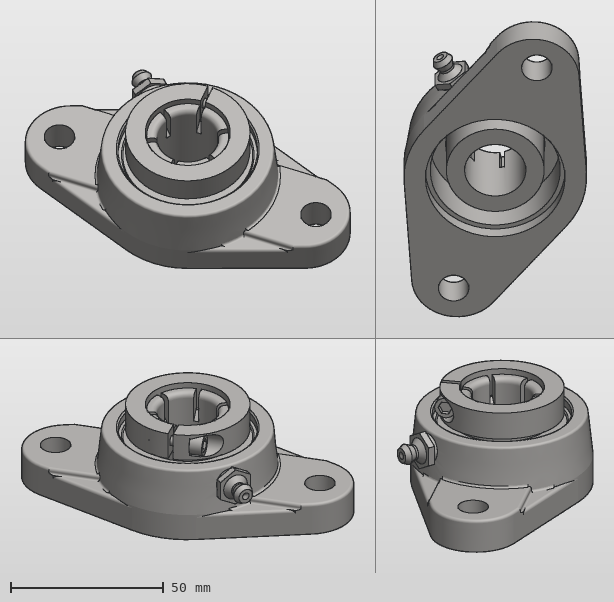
import cadquery as cq
import math

LENGTH = 112.0
HUB_R = 29.9
LOBE_R = 15.0
WEB_Z = 9.3
PAD_Z = 11.3
PAD_HALF_WIDTH = 15.3
EDGE_FILLET = 1.0
WEB_FOOT_HALF_WIDTH = 21.8
FOOT_FILLET = 0.7
HUB_TOP_Z = 25.2
HUB_TOP_R = 28.2
HUB_TOP_FILLET = 0.9
BOLT_D = 10.0
BOLT_X = 45.0

BEARING_Z = 13.4
SEAT_D = 49.0
OPENING_D = 45.7
OPENING_CHAMFER = 0.6
OUTER_BORE_D = 42.6
OUTER_BORE_CHAMFER = 0.5
SEAL_BORE_D = 32.5
SEAL_THICKNESS = 1.7
SHAFT_D = 20.0
INNER_D = 32.0
SHOULDER_Z = 24.6
SLEEVE_D = 26.9
SLEEVE_TOP_Z = 32.3
BORE_FILLET = 1.9
SLOT_COUNT = 6
SLOT_WIDTH = 1.7
SLOT_FLOOR_Z = 21.8

COLLAR_D = 40.8
COLLAR_BORE_D = 27.8
COLLAR_TOP_Z = 34.0
SCREW_Y = 16.8
SCREW_Z = 29.5
SHANK_D = 3.2
SHANK_END_X = 7.8
SCREW_HEAD_D = 7.0
HEAD_SEAT_X = -6.2
HEAD_LENGTH = 4.4
COUNTERBORE_D = 8.0
SOCKET_FLATS = 4.0
SOCKET_DEPTH = 1.7

NIPPLE_ANGLE = 135.0
NIPPLE_Z = 19.0
STEM_D = 10.0
STEM_START = 26.9
HEX_FLATS = 11.2
HEX_START = 29.9
HEX_END = 32.3
CONE_BASE_D = 8.8
NECK_D = 5.0
NECK_START = 34.2
NECK_END = 35.0
THROAT_D = 5.6
THROAT_AT = 35.6
BALL_D = 7.0
BALL_AT = 37.3
TIP_D = 5.0
TIP_AT = 39.2
DIMPLE_D = 2.5
DIMPLE_DEPTH = 0.6

SEAT_R = SEAT_D / 2
OUTER_HALF_WIDTH = math.sqrt(SEAT_R**2 - (OPENING_D / 2) ** 2)
OUTER_TOP_Z = BEARING_Z + OUTER_HALF_WIDTH
OUTER_BOTTOM_Z = BEARING_Z - OUTER_HALF_WIDTH


def cylinder(diameter, bottom, top):
    """Upright cylinder on the bearing axis."""
    return cq.Workplane("XY").workplane(offset=bottom).circle(diameter / 2).extrude(top - bottom)


def x_cylinder(diameter, start_x, end_x):
    """Cylinder on the collar screw axis, which runs along X."""
    plane = cq.Plane(origin=(start_x, SCREW_Y, SCREW_Z), xDir=(0, 1, 0), normal=(1, 0, 0))
    return cq.Workplane(plane).circle(diameter / 2).extrude(end_x - start_x)


def nipple_plane(distance):
    """Plane across the nipple axis, with its local X pointing up."""
    angle = math.radians(NIPPLE_ANGLE)
    outward = (math.cos(angle), math.sin(angle), 0)
    origin = (distance * outward[0], distance * outward[1], NIPPLE_Z)
    return cq.Plane(origin=origin, xDir=(0, 0, 1), normal=outward)


def flange_blank(height):
    """Two lobes joined to the wider middle by tangent lines."""
    lobe_x = LENGTH / 2 - LOBE_R
    sine = (HUB_R - LOBE_R) / lobe_x
    cosine = math.sqrt(1 - sine**2)
    hub_x, hub_y = HUB_R * sine, HUB_R * cosine
    end_x, end_y = lobe_x + LOBE_R * sine, LOBE_R * cosine
    return (
        cq.Workplane("XY")
        .moveTo(-hub_x, hub_y)
        .threePointArc((0, HUB_R), (hub_x, hub_y))
        .lineTo(end_x, end_y)
        .threePointArc((LENGTH / 2, 0), (end_x, -end_y))
        .lineTo(hub_x, -hub_y)
        .threePointArc((0, -HUB_R), (-hub_x, -hub_y))
        .lineTo(-end_x, -end_y)
        .threePointArc((-LENGTH / 2, 0), (-end_x, end_y))
        .close()
        .extrude(height)
    )


def make_pad():
    """Raised strip across the flange, with hollow-rounded feet and a round top edge."""
    foot_y = PAD_HALF_WIDTH + FOOT_FILLET
    foot_top_z = WEB_Z + FOOT_FILLET
    inset = FOOT_FILLET * (1 - math.sqrt(0.5))
    strip = (
        cq.Workplane("YZ")
        .lineTo(foot_y, 0)
        .lineTo(foot_y, WEB_Z)
        .threePointArc((PAD_HALF_WIDTH + inset, WEB_Z + inset), (PAD_HALF_WIDTH, foot_top_z))
        .lineTo(PAD_HALF_WIDTH, PAD_Z)
        .lineTo(0, PAD_Z)
        .close()
        .extrude(LENGTH / 2, both=True)
    )
    strip = strip.union(strip.mirror("XZ"))
    return flange_blank(PAD_Z).intersect(strip).faces(">Z").edges().fillet(EDGE_FILLET)


def make_web():
    """Low flange with a round top edge, left out where the hub stands."""
    web = flange_blank(WEB_Z).faces(">Z").edges().fillet(EDGE_FILLET)
    return web.cut(cylinder(2 * HUB_R, 0, WEB_Z))


def hub_radius(z):
    """Radius of the tapered hub wall at a height."""
    return HUB_R - (HUB_R - HUB_TOP_R) * (z - WEB_Z) / (HUB_TOP_Z - WEB_Z)


def make_hub():
    """Tapered hub on a short cylindrical foot."""
    return (
        cq.Workplane("XZ")
        .lineTo(HUB_R, 0)
        .lineTo(HUB_R, WEB_Z)
        .lineTo(HUB_TOP_R, HUB_TOP_Z)
        .lineTo(0, HUB_TOP_Z)
        .close()
        .revolve(360, (0, 0, 0), (0, 1, 0))
        .faces(">Z")
        .edges()
        .fillet(HUB_TOP_FILLET)
    )


def make_hub_foot(floor_z, half_width):
    """Hollow-rounded ring where the hub rises from a floor, kept within a strip along X."""
    top_z = floor_z + FOOT_FILLET
    inset = FOOT_FILLET * (1 - math.sqrt(0.5))
    wall_r = hub_radius(floor_z)
    ring = (
        cq.Workplane("XZ")
        .moveTo(OPENING_D / 2, floor_z - EDGE_FILLET)
        .lineTo(wall_r + FOOT_FILLET, floor_z - EDGE_FILLET)
        .lineTo(wall_r + FOOT_FILLET, floor_z)
        .threePointArc((wall_r + inset, floor_z + inset), (hub_radius(top_z), top_z))
        .lineTo(OPENING_D / 2, top_z)
        .close()
        .revolve(360, (0, 0, 0), (0, 1, 0))
    )
    strip = cq.Workplane("XY").rect(LENGTH, 2 * half_width).extrude(HUB_TOP_Z)
    return ring.intersect(strip)


def make_housing():
    """Flange and hub with the bearing seat, bolt holes and nipple hole."""
    parts = [
        make_hub(),
        make_pad(),
        make_hub_foot(PAD_Z, PAD_HALF_WIDTH - EDGE_FILLET),
        make_hub_foot(WEB_Z, WEB_FOOT_HALF_WIDTH),
    ]
    body = make_web()
    for part in parts:
        body = body.union(part, clean=False)
    opening = cylinder(OPENING_D, 0, HUB_TOP_Z)
    seat = cq.Workplane("XY").sphere(SEAT_R).translate((0, 0, BEARING_Z))
    bolts = cq.Workplane("XY").pushPoints([(-BOLT_X, 0), (BOLT_X, 0)]).circle(BOLT_D / 2).extrude(PAD_Z)
    stem_hole = cq.Workplane(nipple_plane(STEM_START)).circle(STEM_D / 2).extrude(HEX_START - STEM_START)
    body = body.cut(opening, clean=False)
    body = body.faces(">Z").edges("%CIRCLE").edges(cq.selectors.RadiusNthSelector(0)).chamfer(OPENING_CHAMFER)
    for tool in (seat, bolts, stem_hole):
        body = body.cut(tool, clean=False)
    return body


def make_outer_ring():
    """Ball-shaped ring with flat ends and a chamfered bore."""
    ball = cq.Workplane("XY").sphere(SEAT_R).translate((0, 0, BEARING_Z))
    ring = ball.intersect(cylinder(SEAT_D, OUTER_BOTTOM_Z, OUTER_TOP_Z))
    ring = ring.cut(cylinder(OUTER_BORE_D, OUTER_BOTTOM_Z, OUTER_TOP_Z))
    return ring.faces(">Z").edges(cq.selectors.RadiusNthSelector(0)).chamfer(OUTER_BORE_CHAMFER)


def make_seal():
    """Flat ring in the top of the outer ring, just clear of the inner ring."""
    top = OUTER_TOP_Z - OUTER_BORE_CHAMFER
    bottom = top - SEAL_THICKNESS
    return cylinder(OUTER_BORE_D, bottom, top).cut(cylinder(SEAL_BORE_D, bottom, top))


def make_slot():
    """Radial slot through the sleeve; its floor rises outward until it meets the shoulder."""
    bore_r = SHAFT_D / 2
    rise = SHOULDER_Z - SLOT_FLOOR_Z
    return (
        cq.Workplane("XZ")
        .moveTo(0, SLOT_FLOOR_Z)
        .lineTo(bore_r, SLOT_FLOOR_Z)
        .lineTo(bore_r + rise, SHOULDER_Z)
        .lineTo(SLEEVE_D, SHOULDER_Z)
        .lineTo(SLEEVE_D, SLEEVE_TOP_Z)
        .lineTo(0, SLEEVE_TOP_Z)
        .close()
        .extrude(SLOT_WIDTH / 2, both=True)
    )


def make_inner_ring():
    """Stepped ring with a slotted sleeve that the collar clamps."""
    ring = cylinder(INNER_D, OUTER_BOTTOM_Z, SHOULDER_Z).union(cylinder(SLEEVE_D, SHOULDER_Z, SLEEVE_TOP_Z))
    ring = ring.cut(cylinder(SHAFT_D, OUTER_BOTTOM_Z, SLEEVE_TOP_Z))
    ring = ring.faces(">Z").edges(cq.selectors.RadiusNthSelector(0)).fillet(BORE_FILLET)
    for number in range(SLOT_COUNT):
        angle = 90 + number * 360 / SLOT_COUNT
        ring = ring.cut(make_slot().rotate((0, 0, 0), (0, 0, 1), angle))
    return ring


def make_collar():
    """Split ring with a counterbored hole for the clamping screw across the split."""
    height = COLLAR_TOP_Z - SHOULDER_Z
    collar = cylinder(COLLAR_D, SHOULDER_Z, COLLAR_TOP_Z).cut(cylinder(COLLAR_BORE_D, SHOULDER_Z, COLLAR_TOP_Z))
    split = (
        cq.Workplane("XY")
        .workplane(offset=SHOULDER_Z)
        .center(0, COLLAR_D / 4)
        .rect(SLOT_WIDTH, COLLAR_D / 2)
        .extrude(height)
    )
    shank_hole = x_cylinder(SHANK_D, HEAD_SEAT_X, SHANK_END_X)
    counterbore = x_cylinder(COUNTERBORE_D, -COLLAR_D / 2, HEAD_SEAT_X)
    return collar.cut(split).cut(shank_hole).cut(counterbore)


def make_screw():
    """Socket head screw lying along X."""
    face_x = HEAD_SEAT_X - HEAD_LENGTH
    shank = x_cylinder(SHANK_D, HEAD_SEAT_X, SHANK_END_X)
    head = x_cylinder(SCREW_HEAD_D, face_x, HEAD_SEAT_X)
    face = cq.Plane(origin=(face_x, SCREW_Y, SCREW_Z), xDir=(0, 1, 0), normal=(1, 0, 0))
    socket_points_d = SOCKET_FLATS / math.cos(math.pi / 6)
    socket = cq.Workplane(face).polygon(6, socket_points_d).extrude(SOCKET_DEPTH)
    return head.union(shank).cut(socket)


def make_nipple():
    """Stem, hexagon, cone and ball head turned about one radial axis."""
    stem = cq.Workplane(nipple_plane(STEM_START)).circle(STEM_D / 2).extrude(HEX_START - STEM_START)
    hex_points_d = HEX_FLATS / math.cos(math.pi / 6)
    hexagon = cq.Workplane(nipple_plane(HEX_START)).polygon(6, hex_points_d).extrude(HEX_END - HEX_START)

    axis_plane = nipple_plane(0)
    profile_plane = cq.Plane(origin=axis_plane.origin, xDir=(0, 0, 1), normal=axis_plane.yDir.multiply(-1))
    head = (
        cq.Workplane(profile_plane)
        .moveTo(0, HEX_END)
        .lineTo(CONE_BASE_D / 2, HEX_END)
        .lineTo(NECK_D / 2, NECK_START)
        .lineTo(NECK_D / 2, NECK_END)
        .lineTo(THROAT_D / 2, THROAT_AT)
        .lineTo(BALL_D / 2, BALL_AT)
        .lineTo(TIP_D / 2, TIP_AT)
        .lineTo(DIMPLE_D / 2, TIP_AT)
        .lineTo(0, TIP_AT - DIMPLE_DEPTH)
        .close()
        .revolve(360, (0, 0, 0), (0, 1, 0))
    )
    return stem.union(hexagon).union(head)


housing = make_housing()
outer_ring = make_outer_ring()
seal = make_seal()
inner_ring = make_inner_ring()
collar = make_collar()
screw = make_screw()
nipple = make_nipple()

result = cq.Compound.makeCompound(
    [
        housing.val(),
        outer_ring.val(),
        seal.val(),
        inner_ring.val(),
        collar.val(),
        screw.val(),
        nipple.val(),
    ]
)